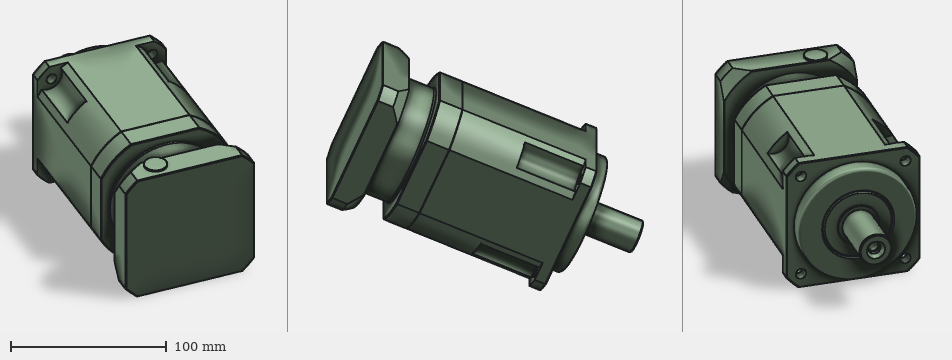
import cadquery as cq
import math


COLLAR_X = 36.5
PILOT_X = 37.5
FLANGE_X = 47.7
HOUSING_X = 55.6
POCKET_END_X = 96.8
SEAM_X = 142.0
NECK_X = 158.2
ADAPTER_X = 179.2
END_X = 198.0

SQUARE = 90.0
HOUSING_CORNER_D = 102.0
PLATE_CORNER_D = 116.2
EDGE_CHAMFER = 0.5

SHAFT_D = 22.0
SHAFT_CHAMFER = 0.8
COLLAR_D = 28.0
COLLAR_CHAMFER = 0.4
SINK_D = 12.3
RELIEF_D = 8.5
RELIEF_DEPTH = 6.0
BORE_D = 6.7
BORE_DEPTH = 25.0
SINK_HALF_ANGLE = 30.0
DRILL_HALF_ANGLE = 59.0

PILOT_D = 80.0
PILOT_FILLET = 2.4
GROOVE_D = 47.0
GROOVE_HALF_WIDTH = 1.0

HOLE_D = 7.0
HOLE_OFFSET = 35.2
POCKET_D = 20.0
POCKET_OFFSET = 37.8

NECK_D = 78.8
NECK_ROOT_D = 79.8
NECK_ROOT_LENGTH = 1.4
NECK_END_TAPER = 0.2
NECK_END_LENGTH = 0.8

SEAM_CHAMFER = 0.2

CONE_FRONT_D = 103.5
CONE_END_X = 187.0

PLUG_D = 15.0
PLUG_TOP_D = 9.0
PLUG_X = 186.1
PLUG_Y = -19.0
PLUG_HEIGHT = 1.4
PLUG_TAPER = 0.2


def cylinder(diameter, start, end):
    """Round bar along the axis."""
    return cq.Workplane("YZ", origin=(start, 0, 0)).circle(diameter / 2).extrude(end - start)


def square_bar(corner_diameter, start, end):
    """Square bar whose corners are rounded off about the axis."""
    square = cq.Workplane("YZ", origin=(start, 0, 0)).rect(SQUARE, SQUARE).extrude(end - start)
    return square.intersect(cylinder(corner_diameter, start, end))


def turned(points):
    """Solid of revolution about the axis from (x, radius) points."""
    return cq.Workplane("XY").polyline(points).close().revolve(360, (0, 0, 0), (1, 0, 0))


def at_corners(start, offset):
    """Workplane at four points, each offset from the axis in both Y and Z."""
    spacing = 2 * offset
    return cq.Workplane("YZ", origin=(start, 0, 0)).rect(spacing, spacing, forConstruction=True).vertices()


def make_shaft():
    """Output shaft with the seal collar at its root."""
    shaft = cylinder(SHAFT_D, 0, PILOT_X).faces("<X").chamfer(SHAFT_CHAMFER)
    collar = cylinder(COLLAR_D, COLLAR_X, PILOT_X).faces("<X").chamfer(COLLAR_CHAMFER)
    return shaft.union(collar)


def make_centre_hole():
    """Countersunk, relieved and drilled hole in the shaft tip."""
    sink_depth = (SINK_D - RELIEF_D) / 2 / math.tan(math.radians(SINK_HALF_ANGLE))
    drill_tip = BORE_D / 2 / math.tan(math.radians(DRILL_HALF_ANGLE))
    return turned([
        (0, 0),
        (0, SINK_D / 2),
        (sink_depth, RELIEF_D / 2),
        (RELIEF_DEPTH, RELIEF_D / 2),
        (RELIEF_DEPTH, BORE_D / 2),
        (BORE_DEPTH, BORE_D / 2),
        (BORE_DEPTH + drill_tip, 0),
    ])


def make_seal_groove():
    """V-shaped ring cut into the pilot face."""
    return turned([
        (PILOT_X, GROOVE_D / 2 - GROOVE_HALF_WIDTH),
        (PILOT_X, GROOVE_D / 2 + GROOVE_HALF_WIDTH),
        (PILOT_X + GROOVE_HALF_WIDTH, GROOVE_D / 2),
    ])


def make_housing():
    """Squared housing in two lengths whose chamfered edges form the seam groove."""
    front = square_bar(HOUSING_CORNER_D, HOUSING_X, SEAM_X).faces(">X").chamfer(SEAM_CHAMFER)
    rear = square_bar(HOUSING_CORNER_D, SEAM_X, NECK_X).faces("<X").chamfer(SEAM_CHAMFER)
    return front.union(rear.faces(">X").chamfer(EDGE_CHAMFER))


def make_neck():
    """Round neck that flares into the housing and tapers where it meets the adapter."""
    return turned([
        (NECK_X, 0),
        (NECK_X, NECK_ROOT_D / 2),
        (NECK_X + NECK_ROOT_LENGTH, NECK_D / 2),
        (ADAPTER_X - NECK_END_LENGTH, NECK_D / 2),
        (ADAPTER_X, NECK_D / 2 - NECK_END_TAPER),
        (ADAPTER_X, 0),
    ])


def make_gearbox():
    """Output shaft, pilot, mounting flange, housing and neck."""
    pilot = cylinder(PILOT_D, PILOT_X, FLANGE_X).faces("<X").edges().fillet(PILOT_FILLET)
    flange = square_bar(PLATE_CORNER_D, FLANGE_X, HOUSING_X).faces("<X").chamfer(EDGE_CHAMFER)
    pockets = at_corners(HOUSING_X, POCKET_OFFSET).circle(POCKET_D / 2).extrude(POCKET_END_X - HOUSING_X)
    holes = at_corners(FLANGE_X, HOLE_OFFSET).circle(HOLE_D / 2).extrude(HOUSING_X - FLANGE_X)
    housing = make_housing().cut(pockets)
    solid = housing.union(flange).union(pilot).union(make_shaft()).union(make_neck())
    return solid.cut(holes).cut(make_centre_hole()).cut(make_seal_groove())


def make_plug():
    """Round plug head with a slightly tapered rim."""
    top = SQUARE / 2 + PLUG_HEIGHT
    rim = top - PLUG_TAPER
    profile = [
        (0, SQUARE / 2),
        (PLUG_D / 2, SQUARE / 2),
        (PLUG_D / 2, rim),
        (PLUG_TOP_D / 2, top),
        (0, top),
    ]
    plug = cq.Workplane("XZ").polyline(profile).close().revolve(360, (0, 0, 0), (0, 1, 0))
    return plug.translate((PLUG_X, PLUG_Y, 0))


def make_adapter():
    """Square motor adapter plate with coned front corners and the access plug."""
    plate = cq.Workplane("YZ", origin=(ADAPTER_X, 0, 0)).rect(SQUARE, SQUARE).extrude(END_X - ADAPTER_X)
    plate = plate.faces("<X").chamfer(EDGE_CHAMFER)
    envelope = turned([
        (ADAPTER_X, 0),
        (ADAPTER_X, CONE_FRONT_D / 2),
        (CONE_END_X, PLATE_CORNER_D / 2),
        (END_X, PLATE_CORNER_D / 2),
        (END_X, 0),
    ])
    plate = plate.intersect(envelope).faces(">X").chamfer(EDGE_CHAMFER)
    return plate.union(make_plug())


gearbox = make_gearbox()
adapter = make_adapter()
result = cq.Compound.makeCompound([gearbox.val(), adapter.val()])